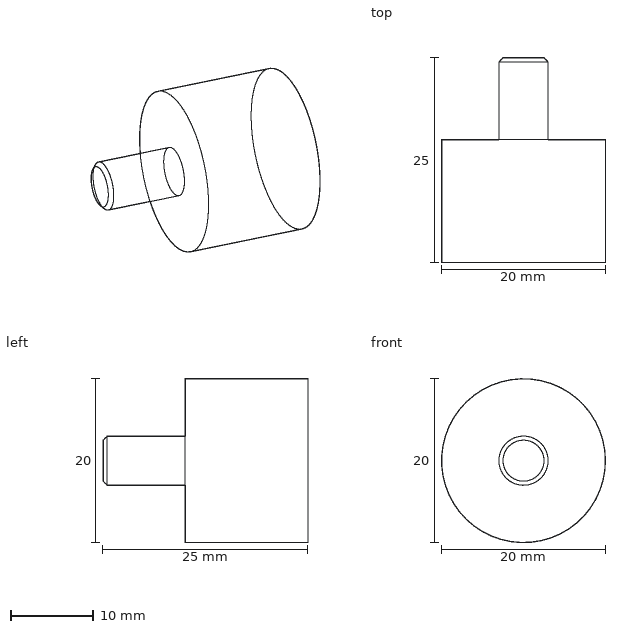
import cadquery as cq

total_length = 25.0
body_diameter = 20.0
body_length = 15.0
stud_diameter = 6.0
stud_chamfer = 0.5

stud_length = total_length - body_length


def cylinder_along_y(diameter, length, start_y):
    """Cylinder centred on the Y axis, running toward +Y from start_y."""
    base = cq.Workplane("XZ", origin=(0, start_y, 0))
    return base.circle(diameter / 2).extrude(-length)


body = cylinder_along_y(body_diameter, body_length, 0)

stud = cylinder_along_y(stud_diameter, stud_length, body_length)
stud = stud.faces(">Y").chamfer(stud_chamfer)

result = body.union(stud)